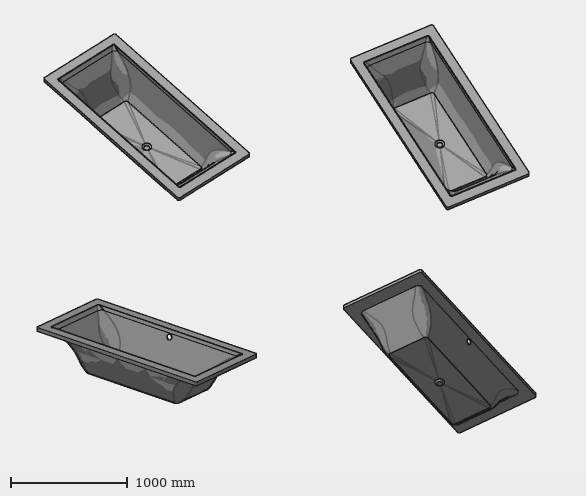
import cadquery as cq
import math

RIM_LENGTH = 1800.0
RIM_WIDTH = 800.0
RIM_THICKNESS = 36.0
RIM_CORNER_RADIUS = 15.0

WALL = 7.0
FLOOR_THICKNESS = 5.0
FLOOR_EDGE_Z = -382.0
BASIN_SECTIONS = [
    (0.0, 814.0, 317.0, 10.0),
    (-36.0, 781.0, 308.0, 43.0),
    (-115.0, 710.0, 290.0, 94.0),
    (-189.0, 659.0, 270.0, 117.0),
    (-261.0, 614.0, 252.0, 103.0),
    (-330.0, 569.0, 229.0, 68.0),
    (FLOOR_EDGE_Z, 511.0, 203.0, 29.0),
]

BASIN_DEPTH = 415.0
DRAIN_TOP_RADIUS = 41.0
DRAIN_BOTTOM_RADIUS = 25.0
DRAIN_DEPTH = 16.0
DRAIN_TOP_Z = DRAIN_DEPTH - BASIN_DEPTH

OVERFLOW_RADIUS = 25.0
OVERFLOW_DROP = 68.0


def section_wire(z, half_x, half_y, radius):
    """Rounded rectangle, always four sides and four corner arcs in the same order."""
    corners = [(1, 1, 0), (-1, 1, 90), (-1, -1, 180), (1, -1, 270)]
    arcs = []
    for sign_x, sign_y, start in corners:
        center_x = sign_x * (half_x - radius)
        center_y = sign_y * (half_y - radius)
        points = []
        for step in (0, 45, 90):
            angle = math.radians(start + step)
            points.append(cq.Vector(center_x + radius * math.cos(angle),
                                    center_y + radius * math.sin(angle), z))
        arcs.append(cq.Edge.makeThreePointArc(*points))
    edges = []
    for arc, following in zip(arcs, arcs[1:] + arcs[:1]):
        edges += [arc, cq.Edge.makeLine(arc.endPoint(), following.startPoint())]
    return cq.Wire.assembleEdges(edges)


def drain_wire(z, floor_half_x, floor_half_y, floor_radius):
    """Circle split into eight arcs that face the corners and sides of the floor."""
    flat_x = floor_half_x - floor_radius
    flat_y = floor_half_y - floor_radius
    first = math.atan2(flat_y, floor_half_x)
    second = math.atan2(floor_half_y, flat_x)
    angles = [first, second, math.pi - second, math.pi - first,
              math.pi + first, math.pi + second, 2 * math.pi - second, 2 * math.pi - first]
    angles.append(angles[0] + 2 * math.pi)

    def rim_point(angle):
        return cq.Vector(DRAIN_TOP_RADIUS * math.cos(angle), DRAIN_TOP_RADIUS * math.sin(angle), z)

    edges = []
    for start, end in zip(angles, angles[1:]):
        middle = (start + end) / 2
        edges.append(cq.Edge.makeThreePointArc(rim_point(start), rim_point(middle), rim_point(end)))
    return cq.Wire.assembleEdges(edges)


def basin_form(inset, lift):
    """Solid basin shape, drawn in by inset, with its floor raised by lift."""
    sections = []
    for z, half_x, half_y, radius in BASIN_SECTIONS:
        raised_z = z + lift if z == FLOOR_EDGE_Z else z
        inner_radius = max(radius - inset, radius / 2)
        sections.append((raised_z, half_x - inset, half_y - inset, inner_radius))
    floor_z, floor_x, floor_y, floor_radius = sections[-1]
    drain_z = DRAIN_TOP_Z + lift

    walls = cq.Solid.makeLoft([section_wire(*section) for section in sections])
    floor = cq.Solid.makeLoft([section_wire(floor_z, floor_x, floor_y, floor_radius),
                               drain_wire(drain_z, floor_x, floor_y, floor_radius)], True)
    drain = cq.Solid.makeCone(DRAIN_BOTTOM_RADIUS, DRAIN_TOP_RADIUS, DRAIN_DEPTH,
                              pnt=cq.Vector(0, 0, drain_z - DRAIN_DEPTH))
    return cq.Workplane(walls).union(cq.Workplane(floor)).union(cq.Workplane(drain))


def make_basin():
    shell = basin_form(0, 0).cut(basin_form(WALL, FLOOR_THICKNESS))
    overflow = (
        cq.Workplane("XZ")
        .center(0, -OVERFLOW_DROP)
        .circle(OVERFLOW_RADIUS)
        .extrude(RIM_WIDTH / 2)
    )
    return shell.cut(overflow)


def make_rim():
    """Frame whose opening fits the outside of the basin."""
    slab = (
        cq.Workplane("XY")
        .rect(RIM_LENGTH, RIM_WIDTH)
        .extrude(-RIM_THICKNESS)
        .edges("|Z")
        .fillet(RIM_CORNER_RADIUS)
    )
    return slab.cut(basin_form(0, 0))


basin = make_basin()
rim = make_rim()

result = cq.Compound.makeCompound([rim.solids().val(), basin.solids().val()])